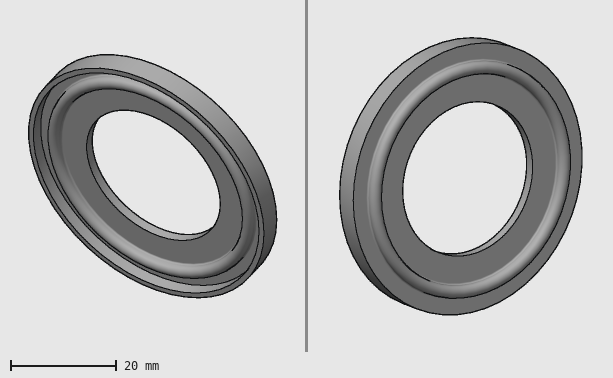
import cadquery as cq
import math

outer_diameter = 52.7
lip_inner_diameter = 50.5
bore_diameter = 29.9
total_depth = 6.4

bead_outer_diameter = 45.9
bead_inner_diameter = 41.1
bead_height = 1.85
bead_root_fillet = 0.3

plate_thickness = 2.0

bead_inner_radius = bead_inner_diameter / 2
bead_outer_radius = bead_outer_diameter / 2
bead_crown_radius = (bead_outer_radius - bead_inner_radius) / 2
bead_middle_radius = (bead_outer_radius + bead_inner_radius) / 2
lip_depth = total_depth - bead_height - plate_thickness


def ring(large_diameter, small_diameter, start_y, depth):
    """Flat ring around the Y axis, from start_y towards +Y."""
    return (
        cq.Workplane("XZ", origin=(0, start_y, 0))
        .circle(large_diameter / 2)
        .circle(small_diameter / 2)
        .extrude(-depth)
    )


def bead(face_y, direction):
    """Round-topped bead with filleted roots, rising from face_y in the given Y direction."""
    fillet_end_y = face_y + direction * bead_root_fillet
    crown_start_y = face_y + direction * (bead_height - bead_crown_radius)
    crown_top_y = face_y + direction * bead_height
    fillet_mid_offset = bead_root_fillet * (1 - math.sqrt(0.5))
    fillet_mid_y = face_y + direction * fillet_mid_offset

    return (
        cq.Workplane("XY")
        .moveTo(bead_inner_radius - bead_root_fillet, face_y)
        .threePointArc(
            (bead_inner_radius - fillet_mid_offset, fillet_mid_y),
            (bead_inner_radius, fillet_end_y),
        )
        .lineTo(bead_inner_radius, crown_start_y)
        .threePointArc(
            (bead_middle_radius, crown_top_y),
            (bead_outer_radius, crown_start_y),
        )
        .lineTo(bead_outer_radius, fillet_end_y)
        .threePointArc(
            (bead_outer_radius + fillet_mid_offset, fillet_mid_y),
            (bead_outer_radius + bead_root_fillet, face_y),
        )
        .close()
        .revolve(360, (0, 0, 0), (0, 1, 0))
    )


plate = ring(outer_diameter, bore_diameter, 0, plate_thickness)
lip = ring(outer_diameter, lip_inner_diameter, -lip_depth, lip_depth)
front_bead = bead(0, -1)
back_bead = bead(plate_thickness, 1)

result = plate.union(lip).union(front_bead).union(back_bead)